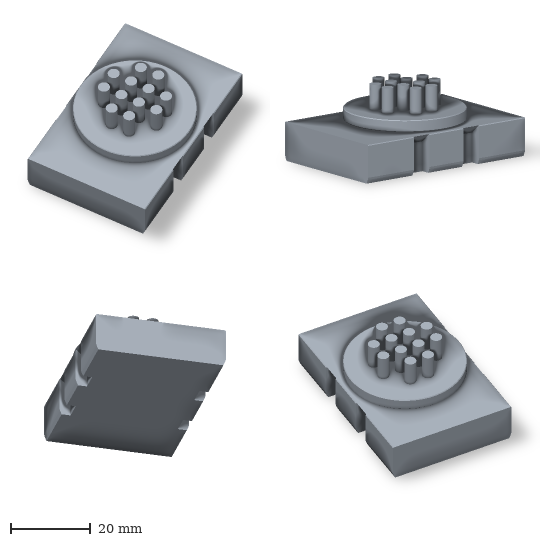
import cadquery as cq

BLOCK_LENGTH = 50.0
BLOCK_WIDTH = 33.6
BLOCK_HEIGHT = 10.0
TOP_CHAMFER = 0.2
BEVEL_IN = 0.6
BEVEL_HEIGHT = 1.6
BEVEL_BREAK_IN = 0.15
BEVEL_BREAK_HEIGHT = 1.05

NOTCH_WIDTH = 5.0
NOTCH_OFFSET = 7.9
NOTCH_DEPTH = 2.9
NOTCH_WALL_HEIGHT = 7.7

NECK_DIAMETER = 23.8
NECK_HEIGHT = 0.3
FLANGE_DIAMETER = 31.0
FLANGE_THICKNESS = 3.0
FLANGE_CHAMFER = 0.2
PIN_DIAMETER = 3.0
PIN_LENGTH = 6.5
PIN_PITCH = 5.0
PIN_ROWS = 4

HALF_WIDTH = BLOCK_WIDTH / 2
TOP_HALF_WIDTH = HALF_WIDTH - TOP_CHAMFER


def make_notch(center_y):
    """Cutter for one notch in the +X side."""
    back_x = HALF_WIDTH - NOTCH_DEPTH
    outside_x = HALF_WIDTH + NOTCH_DEPTH
    return (
        cq.Workplane("XZ", origin=(0, center_y, 0))
        .moveTo(back_x, 0)
        .lineTo(back_x, NOTCH_WALL_HEIGHT)
        .lineTo(TOP_HALF_WIDTH, BLOCK_HEIGHT)
        .lineTo(outside_x, BLOCK_HEIGHT)
        .lineTo(outside_x, 0)
        .close()
        .extrude(NOTCH_WIDTH / 2, both=True)
    )


def make_block():
    """Block with bevelled long sides and two notches in each of them."""
    right_side = [
        (HALF_WIDTH - BEVEL_IN, 0),
        (HALF_WIDTH - BEVEL_BREAK_IN, BEVEL_BREAK_HEIGHT),
        (HALF_WIDTH, BEVEL_HEIGHT),
        (HALF_WIDTH, BLOCK_HEIGHT - TOP_CHAMFER),
        (TOP_HALF_WIDTH, BLOCK_HEIGHT),
    ]
    left_side = [(-x, z) for x, z in reversed(right_side)]
    block = (
        cq.Workplane("XZ")
        .polyline(right_side + left_side)
        .close()
        .extrude(BLOCK_LENGTH / 2, both=True)
    )
    for center_y in (-NOTCH_OFFSET, NOTCH_OFFSET):
        notch = make_notch(center_y)
        block = block.cut(notch).cut(notch.mirror("YZ"))
    return block


def pin_centers():
    """Square grid of pin positions without its four corners."""
    middle = (PIN_ROWS - 1) / 2
    outer_rows = (0, PIN_ROWS - 1)
    return [
        ((column - middle) * PIN_PITCH, (row - middle) * PIN_PITCH)
        for column in range(PIN_ROWS)
        for row in range(PIN_ROWS)
        if not (column in outer_rows and row in outer_rows)
    ]


def make_connector():
    """Round flange on a short neck, with pins standing on the flange."""
    flange_bottom = BLOCK_HEIGHT + NECK_HEIGHT
    flange_top = flange_bottom + FLANGE_THICKNESS
    neck = (
        cq.Workplane("XY", origin=(0, 0, BLOCK_HEIGHT))
        .circle(NECK_DIAMETER / 2)
        .extrude(NECK_HEIGHT)
    )
    flange = (
        cq.Workplane("XY", origin=(0, 0, flange_bottom))
        .circle(FLANGE_DIAMETER / 2)
        .extrude(FLANGE_THICKNESS)
        .edges()
        .chamfer(FLANGE_CHAMFER)
    )
    pins = (
        cq.Workplane("XY", origin=(0, 0, flange_top))
        .pushPoints(pin_centers())
        .circle(PIN_DIAMETER / 2)
        .extrude(PIN_LENGTH)
    )
    return neck.union(flange).union(pins)


block = make_block()
connector = make_connector()

result = cq.Compound.makeCompound([block.solids().val(), connector.solids().val()])